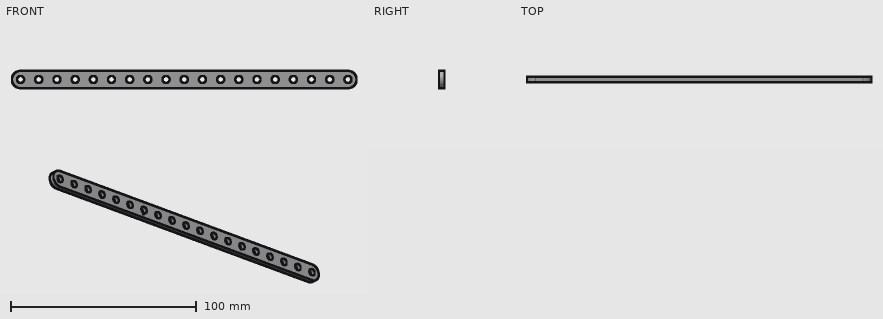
import cadquery as cq

length = 185.5
height = 9.5
thickness = 3.2
hole_count = 19
hole_diameter = 3.7

hole_span = length - height
hole_pitch = hole_span / (hole_count - 1)


def make_bar():
    """Flat bar with fully rounded ends, centred on the origin."""
    return (
        cq.Workplane("XZ")
        .slot2D(length, height)
        .extrude(thickness / 2, both=True)
    )


def drill_hole_row(bar):
    """Cut a row of evenly spaced through holes along the bar."""
    return (
        bar.faces("<Y")
        .workplane(centerOption="CenterOfBoundBox")
        .rarray(hole_pitch, height, hole_count, 1)
        .hole(hole_diameter)
    )


result = drill_hole_row(make_bar())